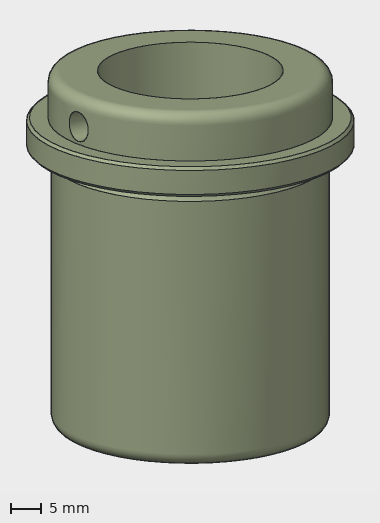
import cadquery as cq
import math

total_height = 60.0
bore_diameter = 30.0

sleeve_radius = 45.0 / 2
bottom_round = 2.0

neck_height = 2.0
neck_depth = 0.65

flange_radius = 53.0 / 2
flange_bottom = 47.0
flange_thickness = 5.05
flange_chamfer = 0.5

collar_radius = 46.0 / 2
top_round = 2.0

hole_diameter = 5.0
hole_depth_from_top = 5.0


def make_sleeve():
    """Sleeve with a rounded lower edge and a neck narrowing under the flange."""
    neck_bottom = flange_bottom - neck_height
    body = cq.Workplane("XY").circle(sleeve_radius).extrude(neck_bottom)
    body = body.faces("<Z").edges().fillet(bottom_round)
    neck_radius = sleeve_radius - neck_depth
    arc_radius = (neck_height**2 + neck_depth**2) / (2 * neck_depth)
    half_angle = math.asin(neck_height / arc_radius) / 2
    arc_middle = (
        neck_radius + arc_radius * (1 - math.cos(half_angle)),
        flange_bottom - arc_radius * math.sin(half_angle),
    )
    neck = (
        cq.Workplane("XZ")
        .moveTo(0, neck_bottom)
        .lineTo(sleeve_radius, neck_bottom)
        .threePointArc(arc_middle, (neck_radius, flange_bottom))
        .lineTo(0, flange_bottom)
        .close()
        .revolve(360, (0, 0, 0), (0, 1, 0))
    )
    return body.union(neck)


def make_flange():
    """Flange disc with both rims chamfered."""
    disc = cq.Workplane("XY", origin=(0, 0, flange_bottom)).circle(flange_radius)
    return disc.extrude(flange_thickness).edges().chamfer(flange_chamfer)


def make_collar():
    """Collar above the flange with a rounded top edge."""
    disc = cq.Workplane("XY", origin=(0, 0, flange_bottom)).circle(collar_radius)
    return disc.extrude(total_height - flange_bottom).faces(">Z").edges().fillet(top_round)


bore = cq.Workplane("XY").circle(bore_diameter / 2).extrude(total_height)

radial_hole = (
    cq.Workplane("XZ", origin=(0, 0, total_height - hole_depth_from_top))
    .circle(hole_diameter / 2)
    .extrude(flange_radius)
)

result = make_sleeve().union(make_flange()).union(make_collar()).cut(bore).cut(radial_hole)